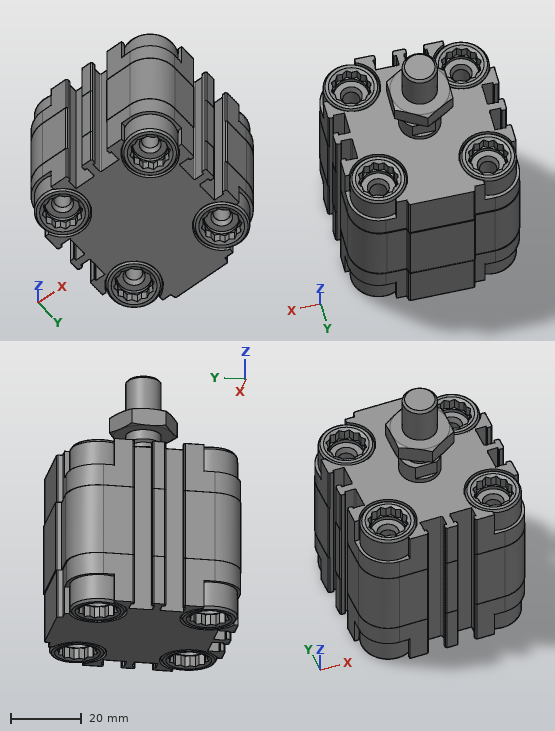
import cadquery as cq
import math


body_width = 50.0
half_width = body_width / 2
housing_height = 49.45
cap_height = 14.4
barrel_height = housing_height - 2 * cap_height
corner_radius = 9.0
corner_center = half_width - corner_radius
cap_side_setback = 0.1
barrel_back_step = 0.3

pad_height = 1.7
pad_half_width = 9.9
pad_taper = 0.2
pad_chamfer = 0.4

slot_floor = 20.0
lip_underside = 23.25
stem_half_width = 1.1
head_half_width = 1.9
lip_edge = 7.1
slot_outer_wall = 7.8
head_chamfer = 0.4
lip_chamfer = 0.2
stem_root_fillet = 0.5

boss_diameter = 16.0
boss_height = 8.05
boss_clearance_diameter = 16.5
boss_chamfer = 0.55
boss_chamfer_height = 0.8
notch_inner_edge = 12.9

socket_mouth_diameter = 12.95
socket_flats = 10.0
socket_mouth_depth = 0.55
socket_star_depth = 3.6
socket_depth = 4.7
countersink_diameter = 6.2
countersink_depth = 1.7
screw_hole_diameter = 4.9

rod_diameter = 12.0
rod_depth = cap_height
rod_shoulder_height = 55.4
rod_flats = 10.0
rod_flats_bottom = 50.9
neck_diameter = 8.4
neck_top = 57.4
thread_diameter = 10.0
thread_bottom = 58.1
thread_chamfer = 0.7
rod_top = 77.5

nut_flats = 17.0
nut_bottom = 60.9
nut_height = 5.0
nut_chamfer_height = 0.4


half_hexagon_step = 30


def hexagon_diameter(flats):
    """Corner-to-corner size of a hexagon with the given size across flats."""
    return flats / math.cos(math.pi / 6)


def cone(bottom_radius, top_radius, height, bottom):
    """Truncated cone on the Z axis."""
    profile = [(0, bottom), (bottom_radius, bottom), (top_radius, bottom + height), (0, bottom + height)]
    return cq.Workplane("XZ").polyline(profile).close().revolve(360, (0, 0, 0), (0, 1, 0))


def slot_pair(height, face):
    """Cutter for the two T-slots on the -Y side, whose outer face lies at Y = -face."""
    slot_outline = [
        (stem_half_width, -slot_floor),
        (slot_outer_wall, -slot_floor),
        (slot_outer_wall, -lip_underside),
        (lip_edge + lip_chamfer, -lip_underside),
        (lip_edge, -lip_underside - lip_chamfer),
        (lip_edge, -face + head_chamfer),
        (lip_edge + head_chamfer, -face),
        (head_half_width - head_chamfer, -face),
        (head_half_width, -face + head_chamfer),
        (head_half_width, -lip_underside - lip_chamfer),
        (head_half_width - lip_chamfer, -lip_underside),
        (stem_half_width, -lip_underside),
    ]
    slot = cq.Workplane("XY").polyline(slot_outline).close().extrude(height)
    stem_root = cq.selectors.NearestToPointSelector((stem_half_width, -slot_floor, height / 2))
    slot = slot.edges("|Z").edges(stem_root).fillet(stem_root_fillet)
    return slot.union(slot.mirror("YZ"))


def housing_section(height, side, back):
    """Length of the housing profile: side is the reach to -X, +X and -Y, back is the reach to +Y."""
    section = (
        cq.Workplane("XY")
        .center(0, (back - side) / 2)
        .rect(2 * side, side + back)
        .extrude(height)
    )
    section = section.edges("|Z and <Y").fillet(side - corner_center)
    section = section.edges("|Z and >Y").fillet(back - corner_center)
    pad_top = back + pad_height
    pad_top_half = pad_half_width - pad_taper
    pad_outline = [
        (-pad_half_width, 0),
        (pad_half_width, 0),
        (pad_half_width, back),
        (pad_top_half, pad_top - pad_chamfer),
        (pad_top_half - pad_chamfer, pad_top),
        (-pad_top_half + pad_chamfer, pad_top),
        (-pad_top_half, pad_top - pad_chamfer),
        (-pad_half_width, back),
    ]
    section = section.union(cq.Workplane("XY").polyline(pad_outline).close().extrude(height))
    slots = slot_pair(height, side)
    for angle in (-90, 0, 90):
        section = section.cut(slots.rotate((0, 0, 0), (0, 0, 1), angle))
    return section


def corner_notch():
    """Cutter that frees the boss at the +X +Y corner of a cap and bevels its rim."""
    radius = boss_diameter / 2
    notch_size = half_width - notch_inner_edge
    bottom = cap_height - boss_height
    notch = (
        cq.Workplane("XY", origin=(notch_inner_edge, notch_inner_edge, bottom))
        .rect(notch_size, notch_size, centered=False)
        .extrude(boss_height)
    )
    boss_base = cq.Workplane("XY", origin=(corner_center, corner_center, bottom))
    clearance = boss_base.circle(boss_clearance_diameter / 2).extrude(boss_height)
    boss_body = boss_base.circle(radius).extrude(boss_height - boss_chamfer_height)
    boss_rim = cone(
        radius, radius - boss_chamfer, boss_chamfer_height, cap_height - boss_chamfer_height
    ).translate((corner_center, corner_center, 0))
    return notch.union(clearance).cut(boss_body).cut(boss_rim)


def screw_socket():
    """Cutter for the twelve-point socket and its screw hole at the +X +Y corner of a cap."""
    socket = cq.Workplane("XY").circle(screw_hole_diameter / 2).extrude(cap_height)
    socket = socket.union(
        cone(
            screw_hole_diameter / 2,
            countersink_diameter / 2,
            countersink_depth,
            cap_height - socket_depth - countersink_depth,
        )
    )
    floor = cq.Workplane("XY", origin=(0, 0, cap_height - socket_depth))
    socket = socket.union(floor.circle(socket_flats / 2).extrude(socket_depth))
    ledge = cq.Workplane("XY", origin=(0, 0, cap_height - socket_star_depth))
    hexagon = ledge.polygon(6, hexagon_diameter(socket_flats)).extrude(socket_star_depth)
    mouth = cone(
        socket_flats / 2, socket_mouth_diameter / 2, socket_mouth_depth, cap_height - socket_mouth_depth
    )
    star = hexagon.union(hexagon.rotate((0, 0, 0), (0, 0, 1), half_hexagon_step))
    return socket.union(star).union(mouth).translate((corner_center, corner_center, 0))


def make_cap():
    """Cap with its outer face at the top and its inner face on Z = 0."""
    cap = housing_section(cap_height, half_width - cap_side_setback, half_width)
    corner = corner_notch().union(screw_socket())
    for angle in (0, 90, 180, 270):
        cap = cap.cut(corner.rotate((0, 0, 0), (0, 0, 1), angle))
    return cap


def make_barrel():
    """Middle of the housing, with the four screw holes passing through."""
    corner_spacing = 2 * corner_center
    holes = (
        cq.Workplane("XY")
        .rect(corner_spacing, corner_spacing, forConstruction=True)
        .vertices()
        .circle(screw_hole_diameter / 2)
        .extrude(barrel_height)
    )
    return housing_section(barrel_height, half_width, half_width + barrel_back_step).cut(holes)


def make_housing():
    """Two mirrored caps and the barrel as one solid, bored from the top for the piston rod."""
    cap = make_cap()
    front_cap = cap.translate((0, 0, housing_height - cap_height))
    rear_cap = cap.mirror("XY").translate((0, 0, cap_height))
    barrel = make_barrel().translate((0, 0, cap_height))
    rod_bore = (
        cq.Workplane("XY", origin=(0, 0, housing_height - rod_depth))
        .circle(rod_diameter / 2)
        .extrude(rod_depth)
    )
    return barrel.union(front_cap).union(rear_cap).clean().cut(rod_bore)


def make_nut():
    """Hexagonal nut with corners on the Y axis, both faces bevelled, and a hole that fits the thread."""
    flat_radius = nut_flats / 2
    corner_reach = hexagon_diameter(nut_flats) / 2
    hexagon = (
        cq.Workplane("XY", origin=(0, 0, nut_bottom))
        .polygon(6, 2 * corner_reach)
        .extrude(nut_height)
        .rotate((0, 0, 0), (0, 0, 1), half_hexagon_step)
    )
    nut_top = nut_bottom + nut_height
    bevel_profile = [
        (0, nut_bottom),
        (flat_radius, nut_bottom),
        (corner_reach, nut_bottom + nut_chamfer_height),
        (corner_reach, nut_top - nut_chamfer_height),
        (flat_radius, nut_top),
        (0, nut_top),
    ]
    envelope = cq.Workplane("XZ").polyline(bevel_profile).close().revolve(360, (0, 0, 0), (0, 1, 0))
    thread_hole = (
        cq.Workplane("XY", origin=(0, 0, nut_bottom)).circle(thread_diameter / 2).extrude(nut_height)
    )
    return hexagon.intersect(envelope).cut(thread_hole)


def make_rod():
    """Piston rod with two wrench flats, a neck and a threaded end."""
    rod_radius = rod_diameter / 2
    neck_radius = neck_diameter / 2
    thread_radius = thread_diameter / 2
    rod_bottom = housing_height - rod_depth
    profile = [
        (0, rod_bottom),
        (rod_radius, rod_bottom),
        (rod_radius, rod_shoulder_height),
        (neck_radius, rod_shoulder_height),
        (neck_radius, neck_top),
        (thread_radius, thread_bottom),
        (thread_radius, rod_top - thread_chamfer),
        (thread_radius - thread_chamfer, rod_top),
        (0, rod_top),
    ]
    rod = cq.Workplane("XZ").polyline(profile).close().revolve(360, (0, 0, 0), (0, 1, 0))
    flat_cutter = (
        cq.Workplane("XY", origin=(0, rod_flats / 2, rod_flats_bottom))
        .rect(rod_diameter, rod_diameter, centered=(True, False))
        .extrude(rod_shoulder_height - rod_flats_bottom)
    )
    return rod.cut(flat_cutter).cut(flat_cutter.mirror("XZ"))


housing = make_housing()
rod = make_rod()
nut = make_nut()

result = cq.Compound.makeCompound([housing.solids().val(), rod.solids().val(), nut.solids().val()])